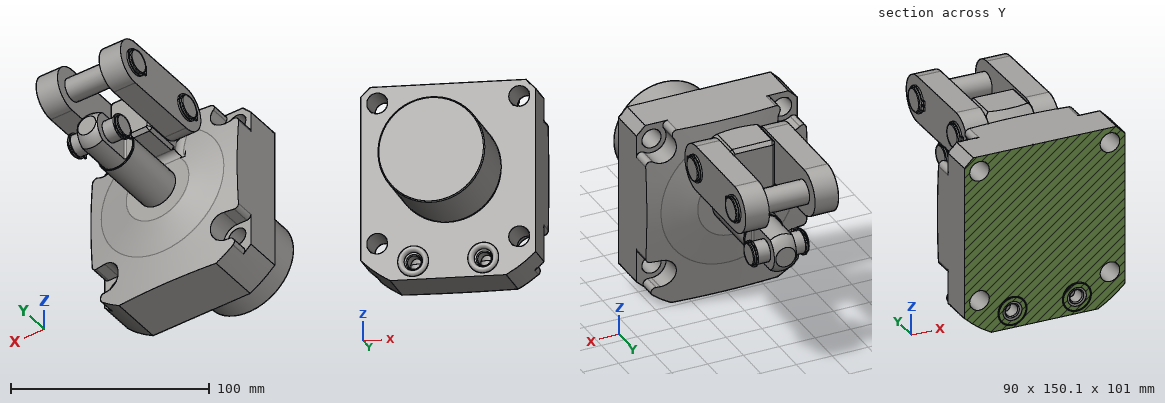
import cadquery as cq
import math


width = 90.0
height = 101.0
half_width = width / 2
foot_length = height - half_width
corner_radius = 63.5
top_chamfer = 5.0
flange_thickness = 20.9

dome_height = 38.6
flat_radius = 19.2
ridge_radius = 37.7
ridge_height = 34.2
rim_slope = 0.17

hole_pitch = 73.0
hole_diameter = 10.7
pocket_radius = 8.1
lip_radius = 2.5

cylinder_radius = 27.5
cylinder_length = 42.0
cylinder_chamfer = 0.6
neck_depth = 0.5
neck_width = 0.5

port_spacing = 36.0
port_z = -46.5
port_radius = 3.5
port_chamfer = 0.6
gallery_radius = 4.2
gallery_y = 13.5
gallery_rise = 6.0
plug_rise = 0.8
ring_outer_radius = 16.0 / 2
ring_tube_radius = 1.7
ring_projection = 0.9
ring_bite = 0.08

link_radius = 12.9
link_z = half_width - link_radius
link_rear_y = 50.6
link_length = 44.6
link_inner_x = 12.8
link_outer_x = 26.0
link_clearance = 0.9

bracket_bottom_z = 17.0
bracket_tip_y = 63.4
bracket_tip_chamfer = 2.0
bracket_corner_chamfer = 1.7
flare_radius = 3.8
flare_side_y = 37.5
flare_slope = 0.19
undercut_height = 43.0

link_pin_radius = 13.0 / 2
rod_pin_radius = 6.0
rod_pin_half_length = 15.6
pin_projection = 2.3
pin_chamfer = 0.5
clip_rim = 0.83
clip_thickness = 0.9
clip_ear_reach = 2.3
clip_ear_height = 5.4
clip_slot = 0.9

rod_radius = 22.0 / 2
rod_shoulder_y = 75.2
rod_chamfer = 0.5
tang_radius = 10.7
tang_root_y = 75.7
tang_root_fillet = 0.9
tang_half_thickness = 6.2
tang_tip_radius = 12.0
rod_pin_y = 90.0

tall = 120.1
margin = 1.5


def xz_plane(y):
    """Sketch plane across the clamp axis; a negative extrusion runs toward +Y."""
    return cq.Workplane("XZ", origin=(0, y, 0))


def cylinder_y(x, z, radius, y_start, y_end):
    return xz_plane(y_start).center(x, z).circle(radius).extrude(y_start - y_end)


def cylinder_x(y, z, radius, half_length):
    plane = cq.Workplane("YZ", origin=(0, y, z))
    return plane.circle(radius).extrude(half_length, both=True)


def turned(points):
    """Solid of revolution about the clamp axis from (radius, y) points."""
    return cq.Workplane("XY").polyline(points).close().revolve(360, (0, 0, 0), (0, 1, 0))


def box_between(x_range, y_range, z_range):
    size = [end - start for start, end in (x_range, y_range, z_range)]
    return cq.Workplane("XY").box(*size, centered=False).translate((x_range[0], y_range[0], z_range[0]))


def rim_height(radius):
    return ridge_height - rim_slope * (radius - ridge_radius)


def flange_block():
    side_end_z = -math.sqrt(corner_radius**2 - half_width**2)
    foot_end_x = math.sqrt(corner_radius**2 - foot_length**2)
    mid_angle = (math.atan2(-side_end_z, half_width) + math.atan2(foot_length, foot_end_x)) / 2
    arc_x = corner_radius * math.cos(mid_angle)
    arc_z = -corner_radius * math.sin(mid_angle)
    shoulder = half_width - top_chamfer
    return (
        xz_plane(0)
        .moveTo(-shoulder, half_width)
        .lineTo(shoulder, half_width)
        .lineTo(half_width, shoulder)
        .lineTo(half_width, side_end_z)
        .threePointArc((arc_x, arc_z), (foot_end_x, -foot_length))
        .lineTo(-foot_end_x, -foot_length)
        .threePointArc((-arc_x, arc_z), (-half_width, side_end_z))
        .lineTo(-half_width, shoulder)
        .close()
        .extrude(-tall)
    )


def dome():
    outer_radius = corner_radius + margin
    return turned([
        (0, 0),
        (outer_radius, 0),
        (outer_radius, rim_height(outer_radius)),
        (ridge_radius, ridge_height),
        (flat_radius, dome_height),
        (0, dome_height),
    ])


def upper_pocket():
    """Screw head pocket of the +X upper corner, open to both edges, with rounded lips."""
    centre = hole_pitch / 2
    edge = half_width
    reach = pocket_radius + lip_radius
    lip_near = edge - lip_radius
    lip_far = centre - math.sqrt(reach**2 - (lip_near - centre) ** 2)
    tangent_near = centre + (lip_near - centre) * pocket_radius / reach
    tangent_far = centre + (lip_far - centre) * pocket_radius / reach
    lip_angle = math.atan2(centre - lip_far, centre - lip_near) / 2
    lip_mid_near = lip_near + lip_radius * math.cos(lip_angle)
    lip_mid_far = lip_far + lip_radius * math.sin(lip_angle)
    inner = centre - pocket_radius / math.sqrt(2)
    outside = edge + margin
    return (
        xz_plane(flange_thickness)
        .moveTo(edge, lip_far)
        .threePointArc((lip_mid_near, lip_mid_far), (tangent_near, tangent_far))
        .threePointArc((inner, inner), (tangent_far, tangent_near))
        .threePointArc((lip_mid_far, lip_mid_near), (lip_far, edge))
        .lineTo(lip_far, outside)
        .lineTo(outside, outside)
        .lineTo(outside, lip_far)
        .close()
        .extrude(-tall)
    )


def lower_pocket():
    """Screw head slot of the +X lower corner, open sideways, with rounded lips."""
    centre = hole_pitch / 2
    slot_top = -centre + pocket_radius
    slot_bottom = -centre - pocket_radius
    lip_x = half_width - lip_radius
    foot_lip_z = slot_bottom - lip_radius
    foot_lip_x = math.sqrt((corner_radius - lip_radius) ** 2 - foot_lip_z**2)
    foot_angle = math.atan2(foot_lip_z, foot_lip_x)
    foot_mid_angle = (foot_angle + math.pi / 2) / 2
    outside = half_width + margin
    half_root = math.sqrt(0.5)
    return (
        xz_plane(flange_thickness)
        .moveTo(centre, slot_top)
        .lineTo(lip_x, slot_top)
        .threePointArc(
            (lip_x + lip_radius * half_root, slot_top + lip_radius * (1 - half_root)),
            (half_width, slot_top + lip_radius),
        )
        .lineTo(outside, slot_top + lip_radius)
        .lineTo(outside, corner_radius * math.sin(foot_angle))
        .lineTo(corner_radius * math.cos(foot_angle), corner_radius * math.sin(foot_angle))
        .threePointArc(
            (
                foot_lip_x + lip_radius * math.cos(foot_mid_angle),
                foot_lip_z + lip_radius * math.sin(foot_mid_angle),
            ),
            (foot_lip_x, slot_bottom),
        )
        .lineTo(centre, slot_bottom)
        .threePointArc((centre - pocket_radius, -centre), (centre, slot_top))
        .close()
        .extrude(-tall)
    )


def bracket_flare():
    """Concave flare around the bracket's foot: a lower flare mitred with two sloping side flares."""
    diagonal = flare_radius * (1 - math.sqrt(0.5))
    outer_z = bracket_bottom_z - flare_radius
    wall_top = dome_height + flare_radius
    lower = (
        cq.Workplane("YZ")
        .moveTo(flange_thickness, outer_z)
        .lineTo(dome_height, outer_z)
        .threePointArc((dome_height + diagonal, bracket_bottom_z - diagonal), (wall_top, bracket_bottom_z))
        .lineTo(wall_top, ridge_radius)
        .lineTo(flange_thickness, ridge_radius)
        .close()
        .extrude(link_inner_x + flare_radius, both=True)
    )
    outer_x = link_inner_x + flare_radius
    arc_x = link_inner_x + diagonal
    arc_y = flare_side_y + diagonal
    side_top = flare_side_y + flare_radius
    sides = (
        cq.Workplane("XY")
        .moveTo(-outer_x, 0)
        .lineTo(-outer_x, flare_side_y)
        .threePointArc((-arc_x, arc_y), (-link_inner_x, side_top))
        .lineTo(-link_inner_x, tall)
        .lineTo(link_inner_x, tall)
        .lineTo(link_inner_x, side_top)
        .threePointArc((arc_x, arc_y), (outer_x, flare_side_y))
        .lineTo(outer_x, 0)
        .close()
        .extrude(tall, both=True)
        .rotate(
            (0, flare_side_y, bracket_bottom_z),
            (1, flare_side_y, bracket_bottom_z),
            math.degrees(math.atan(flare_slope)),
        )
    )
    return lower.intersect(sides)


def bracket():
    """Block that carries the links, its upper rear edge undercut by a 45 degree cone."""
    block = (
        box_between(
            (-link_inner_x, link_inner_x),
            (flange_thickness, bracket_tip_y),
            (bracket_bottom_z, half_width),
        )
        .edges("|Y").chamfer(bracket_corner_chamfer)
        .faces(">Y").chamfer(bracket_tip_chamfer)
    )
    undercut = turned([
        (ridge_radius, ridge_height),
        (ridge_radius, undercut_height + ridge_radius - half_width),
        (corner_radius, undercut_height + corner_radius - half_width),
        (corner_radius, 0),
        (ridge_radius, 0),
    ])
    return block.union(bracket_flare()).cut(undercut)


def link(side):
    """One link plate; `side` is -1 or 1 for its side of the bracket."""
    thickness = link_outer_x - link_inner_x
    middle_x = side * (link_inner_x + link_outer_x) / 2
    middle_y = link_rear_y + link_length / 2
    return (
        cq.Workplane("YZ", origin=(middle_x, middle_y, link_z))
        .slot2D(link_length + 2 * link_radius, 2 * link_radius)
        .extrude(thickness / 2, both=True)
    )


def link_relief(side):
    """Clearance around the rear end of a link."""
    start_x = side * link_inner_x
    plane = cq.Workplane("YZ", origin=(start_x, link_rear_y, link_z))
    return plane.circle(link_radius + link_clearance).extrude(side * tall)


def retaining_ring(side, y, z, pin_radius, inner_x):
    """External ring with its pair of ears pointing toward the flange."""
    ring = cq.Workplane("YZ", origin=(side * inner_x, y, z)).circle(pin_radius + clip_rim)
    ring = ring.extrude(side * clip_thickness)
    ear_length = pin_radius + clip_ear_reach
    ear_height = (clip_ear_height - clip_slot) / 2
    for ear_z in (z - clip_ear_height / 2, z + clip_slot / 2):
        ear = (
            cq.Workplane("YZ", origin=(side * inner_x, y - ear_length, ear_z))
            .rect(ear_length, ear_height, centered=False)
            .extrude(side * clip_thickness)
        )
        ring = ring.union(ear)
    return ring


def pin(y, z, radius, half_length):
    """Cross pin held by a retaining ring at each end."""
    body = cylinder_x(y, z, radius, half_length).faces("<X or >X").chamfer(pin_chamfer)
    for side in (-1, 1):
        body = body.union(retaining_ring(side, y, z, radius, half_length - pin_projection))
    return body


def rear_cylinder():
    return turned([
        (0, flange_thickness),
        (cylinder_radius - neck_depth, flange_thickness),
        (cylinder_radius - neck_depth, -neck_width),
        (cylinder_radius, -neck_width),
        (cylinder_radius, cylinder_chamfer - cylinder_length),
        (cylinder_radius - cylinder_chamfer, -cylinder_length),
        (0, -cylinder_length),
    ])


def add_port(body, x):
    """Oil port with an O-ring in its recess; it leads round the gallery plug into the gallery."""
    recess_depth = 2 * ring_tube_radius - ring_projection - ring_bite
    body = body.cut(cylinder_y(x, port_z, ring_outer_radius - ring_bite, 0, recess_depth))
    bore = cylinder_y(x, port_z, port_radius, recess_depth, gallery_y)
    mouth = cq.Solid.makeCone(
        port_radius + port_chamfer, port_radius, port_chamfer,
        cq.Vector(x, recess_depth, port_z), cq.Vector(0, 1, 0),
    )
    plug_top = cq.Workplane("XY", origin=(x, gallery_y, port_z + plug_rise))
    plug = plug_top.circle(gallery_radius).extrude(-gallery_rise)
    gallery = plug_top.circle(gallery_radius).extrude(gallery_rise - plug_rise)
    bore = bore.cut(plug)
    body = body.cut(bore).cut(gallery).cut(cq.Workplane(mouth))
    centre = cq.Vector(x, ring_tube_radius - ring_projection, port_z)
    o_ring = cq.Solid.makeTorus(
        ring_outer_radius - ring_tube_radius, ring_tube_radius, centre, cq.Vector(0, 1, 0)
    )
    return body.union(cq.Workplane(o_ring))


def make_housing():
    body = flange_block().intersect(dome())
    for pocket in (upper_pocket(), lower_pocket()):
        body = body.cut(pocket).cut(pocket.mirror("YZ"))
    for x in (-hole_pitch / 2, hole_pitch / 2):
        for z in (-hole_pitch / 2, hole_pitch / 2):
            body = body.cut(cylinder_y(x, z, hole_diameter / 2, 0, tall))
    body = body.union(bracket())
    for side in (-1, 1):
        body = body.cut(link_relief(side)).union(link(side))
    for y in (link_rear_y, link_rear_y + link_length):
        body = body.union(pin(y, link_z, link_pin_radius, link_outer_x + pin_projection))
    body = body.union(rear_cylinder())
    for x in (-port_spacing / 2, port_spacing / 2):
        body = add_port(body, x)
    return body


def make_rod():
    """Piston rod with a flat tang, a spherical tip and its cross pin."""
    shaft = cylinder_y(0, 0, rod_radius, dome_height, rod_shoulder_y)
    shaft = shaft.faces(">Y").chamfer(rod_chamfer)
    tip_y = rod_pin_y + tang_radius
    tang = cylinder_y(0, 0, tang_radius, rod_shoulder_y, tip_y)
    sphere = cq.Workplane("XY").sphere(tang_tip_radius).translate((0, rod_pin_y, 0))
    straight = cylinder_y(0, 0, tang_radius, rod_shoulder_y, rod_pin_y)
    tang = tang.intersect(sphere).union(straight)
    for side in (-1, 1):
        flat = box_between((0, tall), (tang_root_y, tall), (-tall, tall))
        flat = flat.translate((tang_half_thickness, 0, 0))
        flat = flat.edges("|Z and <X and <Y").fillet(tang_root_fillet)
        if side < 0:
            flat = flat.mirror("YZ")
        tang = tang.cut(flat)
    return shaft.union(tang).union(pin(rod_pin_y, 0, rod_pin_radius, rod_pin_half_length))


housing = make_housing()
rod = make_rod()
result = cq.Compound.makeCompound([housing.val(), rod.val()])